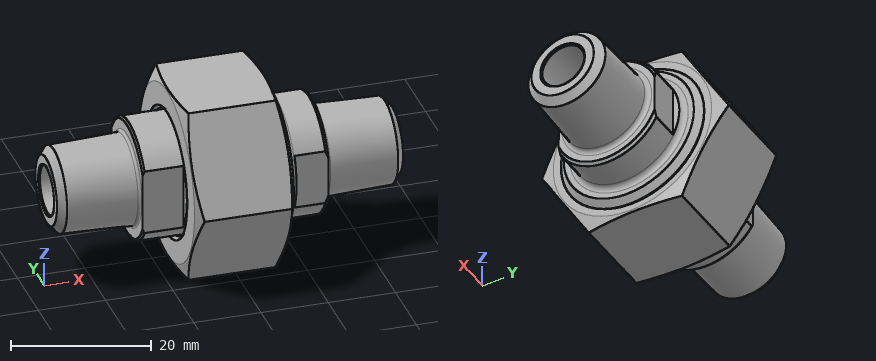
import cadquery as cq
import math

TOTAL_LENGTH = 51.5

NUT_START = 17.95
NUT_LENGTH = 14.5
NUT_ACROSS_FLATS = 27.0
NUT_FACE_DIAMETER = 26.35
NUT_CORNER_SETBACK = 0.75
NUT_HOLE_DIAMETER = 18.5
NUT_HOLE_CHAMFER = 0.5
NUT_WALL = 3.1
NUT_BORE_DIAMETER = 23.85

TIP_DIAMETER = 12.9
ROOT_DIAMETER = 13.55
TIP_CHAMFER = 1.25
TIP_CHAMFER_LENGTH = 1.15
MOUTH_CHAMFER = 0.2

COLLAR_DIAMETER = 18.0

FLANGED_COLLAR_START = 12.0
FLANGED_COLLAR_CHAMFER = 0.3
FLANGED_ROOT_FILLET = 0.4
FLANGED_FLAT_WIDTH = 15.05
FLANGED_FLAT_END = 18.15
FLANGED_BORE = 7.2
FLANGE_DIAMETER = 22.0
FLANGE_THICKNESS = 2.6

MALE_SHOULDER_END = 33.5
MALE_SHOULDER_CHAMFER = 1.1
MALE_SHOULDER_FILLET = 0.9
MALE_COLLAR_END = 39.5
MALE_COLLAR_CHAMFER = 0.45
MALE_ROOT_FILLET = 0.7
MALE_FLAT_WIDTH = 15.95
MALE_FLAT_START = 34.45
MALE_BORE = 7.0

NUT_END = NUT_START + NUT_LENGTH
FLANGE_START = NUT_START + NUT_WALL
SEAT = FLANGE_START + FLANGE_THICKNESS
TIP_RADIUS = TIP_DIAMETER / 2
ROOT_RADIUS = ROOT_DIAMETER / 2
COLLAR_RADIUS = COLLAR_DIAMETER / 2
ARC_SAG = 1 - math.sqrt(0.5)


def revolve_x(profile):
    """Revolve a closed (x, radius) profile about the X axis."""
    return profile.close().revolve(360, (0, 0, 0), (1, 0, 0))


def wrench_flats(start, end, width):
    """Two blocks that leave the given width across Y between start and end."""
    block = cq.Workplane("XY").box(end - start, COLLAR_DIAMETER, COLLAR_DIAMETER)
    offset = (width + COLLAR_DIAMETER) / 2
    middle = (start + end) / 2
    return block.translate((middle, offset, 0)).union(block.translate((middle, -offset, 0)))


def make_nut():
    corner_diameter = NUT_ACROSS_FLATS / math.cos(math.pi / 6)
    corner_radius = corner_diameter / 2
    face_radius = NUT_FACE_DIAMETER / 2
    hexagon = cq.Workplane("YZ").workplane(offset=NUT_START).polygon(6, corner_diameter).extrude(NUT_LENGTH)
    corner_cone = revolve_x(
        cq.Workplane("XY")
        .moveTo(NUT_START, 0)
        .lineTo(NUT_START, face_radius)
        .lineTo(NUT_START + NUT_CORNER_SETBACK, corner_radius)
        .lineTo(NUT_END - NUT_CORNER_SETBACK, corner_radius)
        .lineTo(NUT_END, face_radius)
        .lineTo(NUT_END, 0)
    )
    hole_radius = NUT_HOLE_DIAMETER / 2
    bore_radius = NUT_BORE_DIAMETER / 2
    opening = revolve_x(
        cq.Workplane("XY")
        .moveTo(NUT_START, 0)
        .lineTo(NUT_START, hole_radius + NUT_HOLE_CHAMFER)
        .lineTo(NUT_START + NUT_HOLE_CHAMFER, hole_radius)
        .lineTo(FLANGE_START, hole_radius)
        .lineTo(FLANGE_START, bore_radius)
        .lineTo(NUT_END, bore_radius)
        .lineTo(NUT_END, 0)
    )
    return hexagon.intersect(corner_cone).cut(opening)


def make_flanged_tailpiece():
    bore_radius = FLANGED_BORE / 2
    flange_radius = FLANGE_DIAMETER / 2
    sag = FLANGED_ROOT_FILLET * ARC_SAG
    body = revolve_x(
        cq.Workplane("XY")
        .moveTo(MOUTH_CHAMFER, bore_radius)
        .lineTo(0, bore_radius + MOUTH_CHAMFER)
        .lineTo(0, TIP_RADIUS - TIP_CHAMFER)
        .lineTo(TIP_CHAMFER_LENGTH, TIP_RADIUS)
        .lineTo(FLANGED_COLLAR_START - FLANGED_ROOT_FILLET, ROOT_RADIUS)
        .threePointArc(
            (FLANGED_COLLAR_START - sag, ROOT_RADIUS + sag),
            (FLANGED_COLLAR_START, ROOT_RADIUS + FLANGED_ROOT_FILLET),
        )
        .lineTo(FLANGED_COLLAR_START, COLLAR_RADIUS - FLANGED_COLLAR_CHAMFER)
        .lineTo(FLANGED_COLLAR_START + FLANGED_COLLAR_CHAMFER, COLLAR_RADIUS)
        .lineTo(FLANGE_START, COLLAR_RADIUS)
        .lineTo(FLANGE_START, flange_radius)
        .lineTo(SEAT, flange_radius)
        .lineTo(SEAT, bore_radius)
    )
    return body.cut(wrench_flats(FLANGED_COLLAR_START, FLANGED_FLAT_END, FLANGED_FLAT_WIDTH))


def make_male_tailpiece():
    bore_radius = MALE_BORE / 2
    shoulder_radius = NUT_BORE_DIAMETER / 2
    shoulder_sag = MALE_SHOULDER_FILLET * ARC_SAG
    root_sag = MALE_ROOT_FILLET * ARC_SAG
    body = revolve_x(
        cq.Workplane("XY")
        .moveTo(SEAT, bore_radius)
        .lineTo(SEAT, shoulder_radius)
        .lineTo(MALE_SHOULDER_END - MALE_SHOULDER_CHAMFER, shoulder_radius)
        .lineTo(MALE_SHOULDER_END, shoulder_radius - MALE_SHOULDER_CHAMFER)
        .lineTo(MALE_SHOULDER_END, COLLAR_RADIUS + MALE_SHOULDER_FILLET)
        .threePointArc(
            (MALE_SHOULDER_END + shoulder_sag, COLLAR_RADIUS + shoulder_sag),
            (MALE_SHOULDER_END + MALE_SHOULDER_FILLET, COLLAR_RADIUS),
        )
        .lineTo(MALE_COLLAR_END - MALE_COLLAR_CHAMFER, COLLAR_RADIUS)
        .lineTo(MALE_COLLAR_END, COLLAR_RADIUS - MALE_COLLAR_CHAMFER)
        .lineTo(MALE_COLLAR_END, ROOT_RADIUS + MALE_ROOT_FILLET)
        .threePointArc(
            (MALE_COLLAR_END + root_sag, ROOT_RADIUS + root_sag),
            (MALE_COLLAR_END + MALE_ROOT_FILLET, ROOT_RADIUS),
        )
        .lineTo(TOTAL_LENGTH - TIP_CHAMFER_LENGTH, TIP_RADIUS)
        .lineTo(TOTAL_LENGTH, TIP_RADIUS - TIP_CHAMFER)
        .lineTo(TOTAL_LENGTH, bore_radius + MOUTH_CHAMFER)
        .lineTo(TOTAL_LENGTH - MOUTH_CHAMFER, bore_radius)
    )
    return body.cut(wrench_flats(MALE_FLAT_START, MALE_COLLAR_END, MALE_FLAT_WIDTH))


nut = make_nut()
flanged_tailpiece = make_flanged_tailpiece()
male_tailpiece = make_male_tailpiece()

result = cq.Compound.makeCompound([nut.val(), flanged_tailpiece.val(), male_tailpiece.val()])